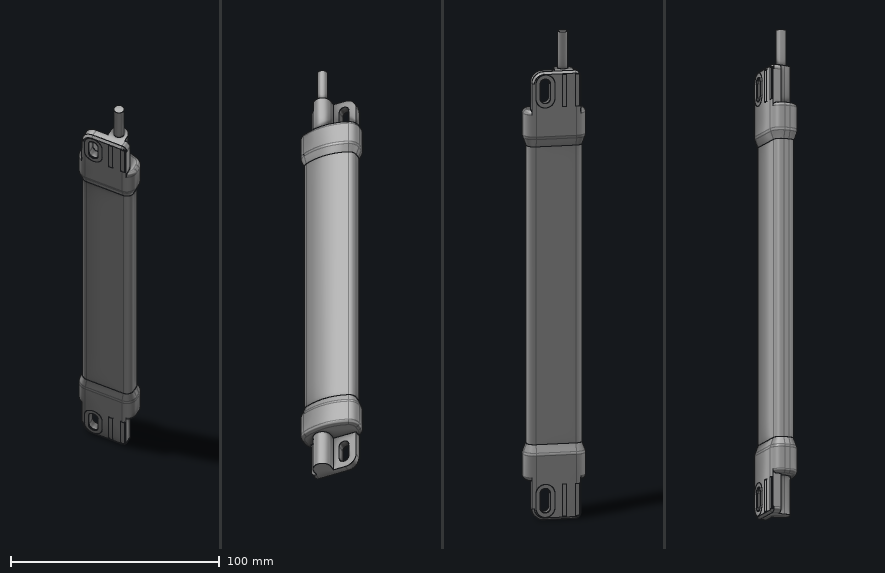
import cadquery as cq
import math

total_length = 238.2
cap_width = 30.5
cap_depth = 15.5

housing_length = 220.0
tab_length = 19.0
collar_length = 17.9
slope_length = 4.5
cap_length = tab_length + collar_length

corner_radius = 5.5
back_corner_y = 8.0
profile_inset = 1.7
collar_edge_radius = 2.0
slope_edge_radius = 3.8

tab_width = 23.8
tab_thickness = 4.8
tab_left_radius = 5.7
tab_right_radius = 2.6
tab_front_chamfer = 1.2

cable_x = 4.5
cable_y = 7.6
cable_diameter = 5.0
boss_radius = 4.5

inlay_z = 9.5
inlay_thickness = 0.7
slot_x = -5.5
slot_width = 5.0
slot_length = 12.0
rim_margin = 2.1
strip_xs = (3.8, 10.2)
strip_width = 2.1
strip_length = 15.7


def collar_section():
    """Closed outline of the collar; the dome is tangent to both back corners."""
    half_width = cap_width / 2
    corner_x = half_width - corner_radius
    rise = cap_depth - back_corner_y
    dome_radius = (corner_x**2 + rise**2 - corner_radius**2) / (2 * (rise - corner_radius))
    dome_angle = math.asin(corner_x / (dome_radius - corner_radius))
    join_x = dome_radius * math.sin(dome_angle)
    join_y = cap_depth - dome_radius + dome_radius * math.cos(dome_angle)
    middle_angle = dome_angle / 2 + math.pi / 4
    corner_mid_x = corner_x + corner_radius * math.sin(middle_angle)
    corner_mid_y = back_corner_y + corner_radius * math.cos(middle_angle)
    front_mid_x = corner_x + corner_radius * math.sqrt(0.5)
    front_mid_y = corner_radius * (1 - math.sqrt(0.5))
    return (
        cq.Workplane("XY")
        .moveTo(-corner_x, 0)
        .lineTo(corner_x, 0)
        .threePointArc((front_mid_x, front_mid_y), (half_width, corner_radius))
        .lineTo(half_width, back_corner_y)
        .threePointArc((corner_mid_x, corner_mid_y), (join_x, join_y))
        .threePointArc((0, cap_depth), (-join_x, join_y))
        .threePointArc((-corner_mid_x, corner_mid_y), (-half_width, back_corner_y))
        .lineTo(-half_width, corner_radius)
        .threePointArc((-front_mid_x, front_mid_y), (-corner_x, 0))
        .close()
    )


def profile_section():
    return collar_section().offset2D(-profile_inset)


def make_collar():
    """Collar from the end of the tab to the profile, sloping down to the profile size."""
    straight_length = collar_length - slope_length
    slope_angle = math.degrees(math.atan(profile_inset / slope_length))
    straight = collar_section().extrude(straight_length)
    slope = collar_section().extrude(slope_length, taper=slope_angle)
    collar = straight.union(slope.translate((0, 0, straight_length)))
    slope_start = cq.selectors.BoxSelector(
        (-cap_width, -cap_depth, straight_length - slope_length / 2),
        (cap_width, 2 * cap_depth, straight_length + slope_length / 4),
    )
    collar = collar.edges("#Z").edges(slope_start).fillet(slope_edge_radius)
    collar = collar.faces("<Z").edges().fillet(collar_edge_radius)
    return collar.translate((0, 0, tab_length))


def chamfered_tab_outline():
    """Tab outline through its thickness, chamfered in front along the end and both round corners."""
    half_width = tab_width / 2
    outline = (
        cq.Workplane("XZ")
        .moveTo(-half_width, cap_length)
        .lineTo(-half_width, tab_left_radius)
        .radiusArc((-half_width + tab_left_radius, 0), -tab_left_radius)
        .lineTo(half_width - tab_right_radius, 0)
        .radiusArc((half_width, tab_right_radius), -tab_right_radius)
        .lineTo(half_width, cap_length)
        .close()
        .extrude(-tab_thickness)
        .faces("<Y")
        .edges()
        .chamfer(tab_front_chamfer)
    )
    for side, radius in ((-1, tab_left_radius), (1, tab_right_radius)):
        straight_side = cq.Workplane("XY").box(
            half_width, tab_thickness, cap_length - radius, centered=(True, False, False)
        )
        outline = outline.union(straight_side.translate((side * half_width / 2, 0, radius)))
    return outline


def make_tab():
    """Flat tab whose front follows the collar outline, with the cable boss behind it."""
    tab_end = tab_length + collar_edge_radius
    plate = collar_section().extrude(tab_end).intersect(chamfered_tab_outline())
    boss = cq.Workplane("XY").center(cable_x, cable_y).circle(boss_radius).extrude(tab_end)
    boss_foot = (
        cq.Workplane("XY", origin=(cable_x, tab_thickness / 2, 0))
        .box(2 * boss_radius, cable_y - tab_thickness / 2, tab_end, centered=(True, False, False))
    )
    return plate.union(boss).union(boss_foot)


def slot_prism(length, width, depth):
    """Upright round-ended prism on the slot axis, going back from the front of the tab."""
    return cq.Workplane("XZ").center(slot_x, inlay_z).slot2D(length, width, 90).extrude(-depth)


def make_slot():
    return slot_prism(slot_length, slot_width, tab_thickness)


def rim_pocket():
    return slot_prism(slot_length + 2 * rim_margin, slot_width + 2 * rim_margin, inlay_thickness)


def make_slot_rim():
    return rim_pocket().cut(make_slot())


def make_strip(x):
    return cq.Workplane("XZ").center(x, inlay_z).rect(strip_width, strip_length).extrude(-inlay_thickness)


def make_cap():
    """End cap with its slot and the pockets for the inlays, lying at the bottom end."""
    cap = make_collar().union(make_tab()).cut(make_slot()).cut(rim_pocket())
    for x in strip_xs:
        cap = cap.cut(make_strip(x))
    return cap


def at_top_end(body):
    """Mirror image of a bottom-end body, moved to the top end."""
    return body.mirror("XY").translate((0, 0, housing_length))


def make_cable():
    return (
        cq.Workplane("XY", origin=(cable_x, cable_y, housing_length))
        .circle(cable_diameter / 2)
        .extrude(total_length - housing_length)
    )


def make_profile():
    length = housing_length - 2 * cap_length
    return profile_section().extrude(length).translate((0, 0, cap_length))


profile = make_profile()
bottom_cap = make_cap()
top_cap = at_top_end(make_cap()).union(make_cable())

bottom_inlays = [make_slot_rim()] + [make_strip(x) for x in strip_xs]
top_inlays = [at_top_end(inlay) for inlay in bottom_inlays]
inlays = [inlay.val() for inlay in bottom_inlays + top_inlays]

result = cq.Compound.makeCompound([profile.val(), bottom_cap.val(), top_cap.val(), *inlays])